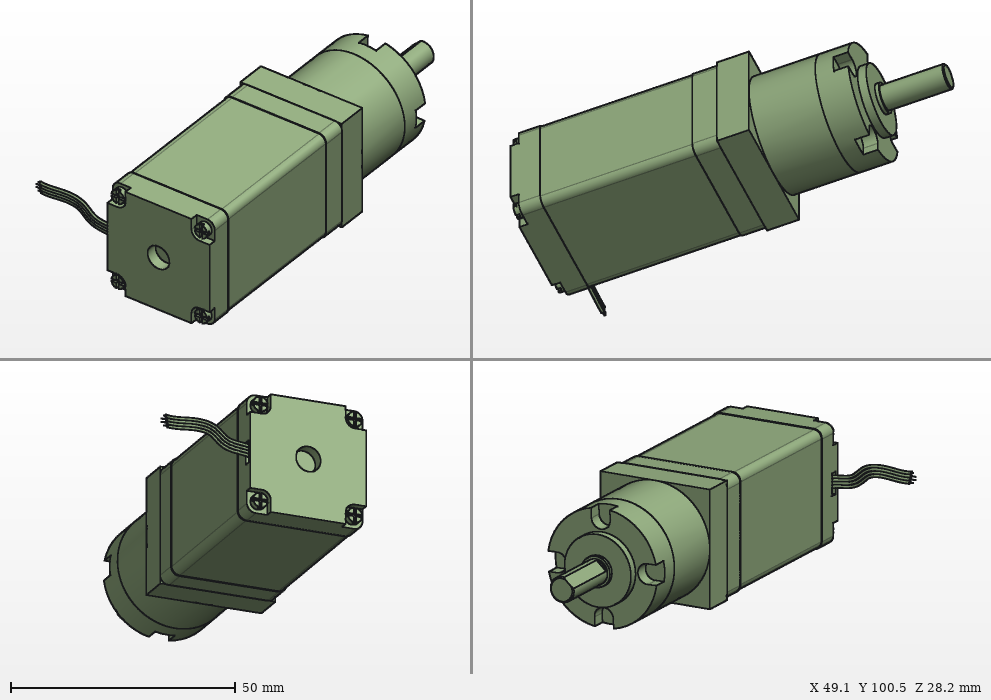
import cadquery as cq


motor_length = 50.2
motor_front_cap_length = 6.0
motor_rear_cap_length = 7.2
flange_length = 7.8
ring_length = 16.1
head_length = 7.9
boss_length = 2.1
collar_length = 0.9
overall_length = 100.5

flange_front = motor_length + flange_length
ring_front = flange_front + ring_length
head_front = ring_front + head_length
boss_front = head_front + boss_length
collar_front = boss_front + collar_length

cap_width = 28.2
cap_corner_radius = 2.1
stack_width = 27.8
stack_inset = (cap_width - stack_width) / 2
stack_corner_radius = cap_corner_radius - stack_inset
rear_bore_diameter = 6.0
rear_bore_depth = 3.0

pocket_size = 5.0
pocket_depth = 2.0
pocket_inner_radius = 2.3
screw_spacing = 23.0
screw_head_diameter = 3.5
screw_head_height = 1.7
cross_width = 0.6
cross_depth = 0.8

wire_count = 4
wire_diameter = 0.75
wire_pitch = 0.78
wire_axis_y = 1.75
wire_embed = 0.5
wire_root_z = 0.1
wire_exit_z = 0.5
wire_bend_points = [(-19.5, 1.65), (-22.6, 4.0), (-24.9, 4.65), (-28.1, 4.65)]
wire_end_x = -33.7
wire_end_z = 4.45
strand_diameter = 0.12
overall_width = 49.1
strand_tip_x = cap_width / 2 - overall_width
outer_strand_setback = 0.6
wire_exit_width = 1.7
wire_exit_height = 5.3
wire_exit_depth = 1.0

flange_width = 28.0
gearbox_diameter = 28.0
gearbox_turn = 2.0
boss_diameter = 17.0
collar_diameter = 7.3
shaft_diameter = 6.0
shaft_tip_chamfer = 0.3
flat_length = 15.0
flat_depth = 0.5
flat_direction = -45.0
notch_count = 4
notch_width = 4.8
notch_length = 3.5
notch_centre_radius = 11.5


def section_at(y):
    """Sketch plane across the axis; its extrusions run toward -Y."""
    return cq.Workplane("XZ", origin=(0, y, 0))


def disc(diameter, y_rear, y_front):
    return section_at(y_front).circle(diameter / 2).extrude(y_front - y_rear)


def square_bar(width, y_rear, y_front):
    return section_at(y_front).rect(width, width).extrude(y_front - y_rear)


def rounded_bar(width, corner_radius, y_rear, y_front):
    return square_bar(width, y_rear, y_front).edges("|Y").fillet(corner_radius)


def turn(shape, degrees):
    return shape.rotate((0, 0, 0), (0, 1, 0), degrees)


def screw_pocket(side_x, side_z):
    """Corner recess in the rear face, rounded on its inner corner and open on two sides."""
    half = cap_width / 2
    centre = half - pocket_size / 2
    pocket = (
        section_at(pocket_depth)
        .center(side_x * centre, side_z * centre)
        .rect(pocket_size, pocket_size)
        .extrude(pocket_depth)
    )
    inner_x = "<X" if side_x > 0 else ">X"
    inner_z = "<Z" if side_z > 0 else ">Z"
    return pocket.edges("|Y").edges(inner_x).edges(inner_z).fillet(pocket_inner_radius)


def screw_head(side_x, side_z):
    """Cylindrical head with a cross recess, standing on the pocket floor."""
    head_rear = pocket_depth - screw_head_height
    x = side_x * screw_spacing / 2
    z = side_z * screw_spacing / 2
    head = (
        section_at(pocket_depth)
        .center(x, z)
        .circle(screw_head_diameter / 2)
        .extrude(screw_head_height)
    )
    for length_x, length_z in ((screw_head_diameter, cross_width), (cross_width, screw_head_diameter)):
        groove = (
            section_at(head_rear + cross_depth)
            .center(x, z)
            .rect(length_x, length_z)
            .extrude(cross_depth)
        )
        head = head.cut(groove)
    return head


def lead_wires():
    """Ribbon of insulated wires along one S-shaped path, each ending in a bare strand."""
    root_x = -cap_width / 2 + wire_exit_depth + wire_embed
    path_points = [
        (root_x, wire_root_z),
        (-cap_width / 2, wire_exit_z),
        *wire_bend_points,
        (wire_end_x, wire_end_z),
    ]
    path = cq.Workplane("XZ", origin=(0, wire_axis_y, 0)).spline(path_points)
    half_span = wire_pitch * (wire_count - 1) / 2
    offsets = [(0, i * wire_pitch - half_span) for i in range(wire_count)]

    wires = (
        cq.Workplane("YZ", origin=(root_x, wire_axis_y, wire_root_z))
        .pushPoints(offsets)
        .circle(wire_diameter / 2)
        .sweep(path)
    )
    strand_start_x = wire_end_x + wire_embed
    for i, offset in enumerate(offsets):
        is_outer = i in (0, wire_count - 1)
        tip_x = strand_tip_x + (outer_strand_setback if is_outer else 0)
        strand = (
            cq.Workplane("YZ", origin=(strand_start_x, wire_axis_y, wire_end_z))
            .center(*offset)
            .circle(strand_diameter / 2)
            .extrude(tip_x - strand_start_x)
        )
        wires = wires.union(strand)
    return wires


def make_motor():
    stack_front = motor_length - motor_front_cap_length
    body = rounded_bar(cap_width, cap_corner_radius, 0, motor_rear_cap_length)
    body = body.union(rounded_bar(stack_width, stack_corner_radius, motor_rear_cap_length, stack_front))
    body = body.union(rounded_bar(cap_width, cap_corner_radius, stack_front, motor_length))
    body = body.cut(disc(rear_bore_diameter, 0, rear_bore_depth))

    for side_x in (-1, 1):
        for side_z in (-1, 1):
            body = body.cut(screw_pocket(side_x, side_z))
            body = body.union(screw_head(side_x, side_z))

    wire_exit = cq.Workplane("XY").box(2 * wire_exit_depth, wire_exit_width, wire_exit_height)
    body = body.cut(wire_exit.translate((-cap_width / 2, wire_axis_y, 0)))
    return body.union(lead_wires())


def make_flange():
    return square_bar(flange_width, motor_length, flange_front)


def make_gear_ring():
    return disc(gearbox_diameter, flange_front, ring_front)


def make_output_head():
    """Front cap with its boss, collar and output shaft, all turned slightly about the axis."""
    head = disc(gearbox_diameter, ring_front, head_front)
    for i in range(notch_count):
        head = head.cut(turn(head_notch(), i * 360 / notch_count))
    head = head.union(disc(boss_diameter, head_front, boss_front))
    head = head.union(disc(collar_diameter, boss_front, collar_front))
    head = head.union(output_shaft())
    return turn(head, gearbox_turn)


def head_notch():
    """Round-bottomed slot in the front rim at the +Z side, open outward."""
    rim = gearbox_diameter / 2
    slot_height = rim - notch_centre_radius + notch_width
    bottom = (
        section_at(head_front)
        .center(0, notch_centre_radius)
        .circle(notch_width / 2)
        .extrude(notch_length)
    )
    walls = (
        section_at(head_front)
        .center(0, notch_centre_radius + slot_height / 2)
        .rect(notch_width, slot_height)
        .extrude(notch_length)
    )
    return bottom.union(walls)


def output_shaft():
    shaft = disc(shaft_diameter, collar_front, overall_length).faces(">Y").chamfer(shaft_tip_chamfer)
    flat_cutter = (
        section_at(overall_length)
        .center(0, shaft_diameter - flat_depth)
        .rect(2 * shaft_diameter, shaft_diameter)
        .extrude(flat_length)
    )
    return shaft.cut(turn(flat_cutter, flat_direction))


motor = make_motor()
flange = make_flange()
gear_ring = make_gear_ring()
output_head = make_output_head()

result = cq.Compound.makeCompound([motor.val(), flange.val(), gear_ring.val(), output_head.val()])